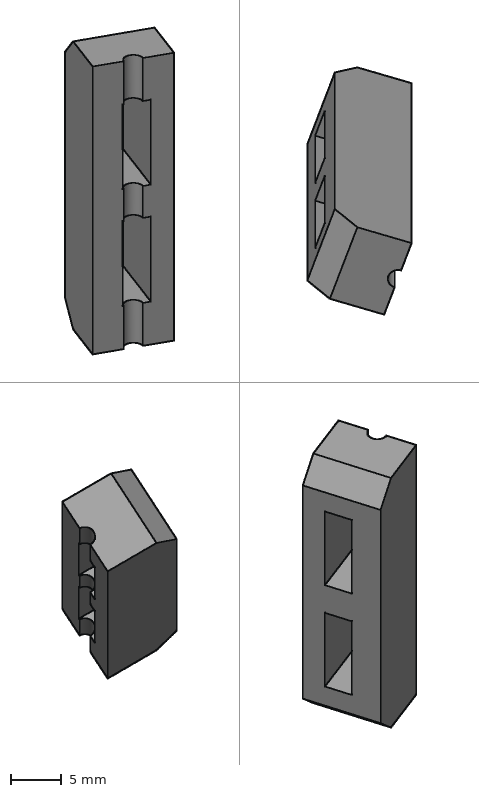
import cadquery as cq

width = 7.97
depth = 8.5
height = 32.0
bevel = 2.35

slot_depth = 2.95
slot_height = 9.45
slot_pitch = 13.0
slot_offset_y = 0.35

groove_radius = 1.0


def make_block():
    """Block with its two -X end edges bevelled."""
    left, right = -width / 2, width / 2
    bottom, top = -height / 2, height / 2
    outline = [
        (right, bottom),
        (right, top),
        (left + bevel, top),
        (left, top - bevel),
        (left, bottom + bevel),
        (left + bevel, bottom),
    ]
    return cq.Workplane("XZ").polyline(outline).close().extrude(depth / 2, both=True)


def make_slots():
    """Two rectangular windows, shifted toward +Y."""
    slot = cq.Workplane("XY").box(width, slot_depth, slot_height)
    upper = slot.translate((0, slot_offset_y, slot_pitch / 2))
    lower = slot.translate((0, slot_offset_y, -slot_pitch / 2))
    return upper.union(lower)


def make_groove():
    """Full-height cutter centred on the +X face."""
    groove = cq.Workplane("XY").circle(groove_radius).extrude(height / 2, both=True)
    return groove.translate((width / 2, 0, 0))


result = make_block().cut(make_slots()).cut(make_groove())